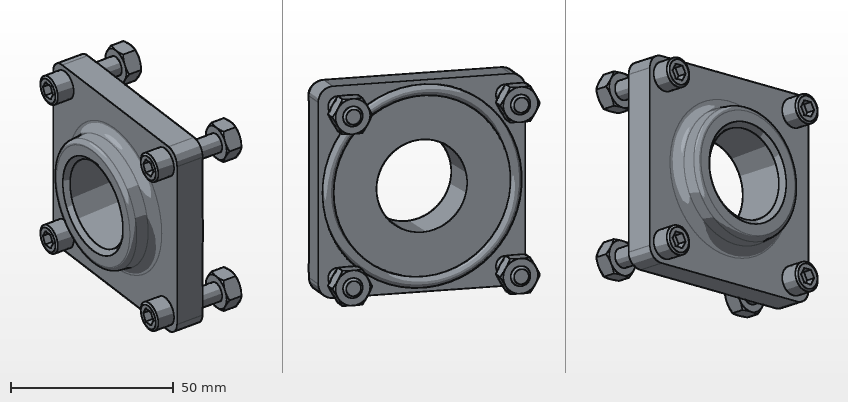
import cadquery as cq
import math


PLATE_SIDE = 66.65
PLATE_THICKNESS = 9.55
PLATE_CORNER_RADIUS = 4.75
BOLT_SPACING = 54.0

HUB_HEIGHT = 8.3
HUB_TAPER = math.radians(6)
HUB_FOOT_RADIUS = 25.0
HUB_FOOT_FILLET = 3.2
HUB_RIM_FILLET = 1.6
BORE_RADIUS = 14.55
BORE_CHAMFER = 1.6

RING_SECTION_RADIUS = 1.75
RING_OUTER_RADIUS = 32.0
RING_PROTRUSION = 2.1

BOLT_DIAMETER = 6.35
BOLT_LENGTH = 25.4
BOLT_TIP_CHAMFER = 0.8
HEAD_DIAMETER = 9.5
HEAD_HEIGHT = BOLT_DIAMETER
HEAD_CHAMFER_WIDTH = 0.75
HEAD_CHAMFER_HEIGHT = 0.5
SOCKET_WIDTH = 4.75
SOCKET_DEPTH = HEAD_HEIGHT / 2

NUT_WIDTH = 11.1
NUT_HEIGHT = 5.55
NUT_CHAMFER_ANGLE = math.radians(30)
BOLT_TIP_OVERHANG = 0.8

FRONT_FACE = -PLATE_THICKNESS
HUB_FACE = FRONT_FACE - HUB_HEIGHT
HEAD_FACE = FRONT_FACE - HEAD_HEIGHT
BOLT_TIP = FRONT_FACE + BOLT_LENGTH
NUT_BACK = BOLT_TIP - BOLT_TIP_OVERHANG
NUT_FRONT = NUT_BACK - NUT_HEIGHT

RING_RADIUS = RING_OUTER_RADIUS - RING_SECTION_RADIUS
RING_CENTRE_Y = RING_PROTRUSION - RING_SECTION_RADIUS
GROOVE_DEPTH = RING_SECTION_RADIUS - RING_CENTRE_Y

HALF_SPACING = BOLT_SPACING / 2
BOLT_PLACES = [(x, z) for x in (-HALF_SPACING, HALF_SPACING) for z in (-HALF_SPACING, HALF_SPACING)]


def plane_at(y):
    """Plane facing +Y at the given Y, with its local x along X."""
    return cq.Workplane(cq.Plane(origin=(0, y, 0), xDir=(1, 0, 0), normal=(0, 1, 0)))


def cylinder(radius, start, end):
    """Solid cylinder on the Y axis between two Y places."""
    return plane_at(start).circle(radius).extrude(end - start)


def corner_diameter(width):
    """Distance across the corners of a hexagon with the given width across flats."""
    return width / math.cos(math.pi / 6)


def hexagon(width, start, end):
    """Hexagonal prism on the Y axis, with two corners pointing along X."""
    return plane_at(start).polygon(6, corner_diameter(width)).extrude(end - start)


def revolve_about_y(profile):
    return profile.revolve(360, (0, 0, 0), (0, 1, 0))


def point_on_arc(centre, radius, angle):
    return (centre[0] + radius * math.cos(angle), centre[1] + radius * math.sin(angle))


def make_hub():
    """Tapered hub, tangent to its foot fillet and to its rim fillet, as a solid of revolution."""
    foot_centre = (HUB_FOOT_RADIUS, FRONT_FACE - HUB_FOOT_FILLET)
    foot_end = point_on_arc(foot_centre, HUB_FOOT_FILLET, math.pi - HUB_TAPER)
    foot_mid = point_on_arc(foot_centre, HUB_FOOT_FILLET, (1.5 * math.pi - HUB_TAPER) / 2)

    rim_y = HUB_FACE + HUB_RIM_FILLET * (1 - math.sin(HUB_TAPER))
    wall_length = foot_end[1] - rim_y
    rim_start = (foot_end[0] - wall_length * math.tan(HUB_TAPER), rim_y)
    rim_centre = (rim_start[0] - HUB_RIM_FILLET * math.cos(HUB_TAPER), HUB_FACE + HUB_RIM_FILLET)
    rim_mid = point_on_arc(rim_centre, HUB_RIM_FILLET, -(math.pi / 2 + HUB_TAPER) / 2)
    rim_end = (rim_centre[0], HUB_FACE)

    profile = (
        cq.Workplane("XY")
        .moveTo(0, FRONT_FACE)
        .lineTo(HUB_FOOT_RADIUS, FRONT_FACE)
        .threePointArc(foot_mid, foot_end)
        .lineTo(*rim_start)
        .threePointArc(rim_mid, rim_end)
        .lineTo(0, HUB_FACE)
        .close()
    )
    return revolve_about_y(profile)


def make_bore():
    """Through bore with a chamfered mouth in the hub face."""
    mouth_radius = BORE_RADIUS + BORE_CHAMFER
    profile = cq.Workplane("XY").polyline([
        (0, 0),
        (BORE_RADIUS, 0),
        (BORE_RADIUS, HUB_FACE + BORE_CHAMFER),
        (mouth_radius, HUB_FACE),
        (0, HUB_FACE),
    ]).close()
    return revolve_about_y(profile)


def make_ring_groove():
    """Square-sided groove in the back face that the sealing ring just fits."""
    outer = cylinder(RING_OUTER_RADIUS, -GROOVE_DEPTH, 0)
    inner = cylinder(RING_RADIUS - RING_SECTION_RADIUS, -GROOVE_DEPTH, 0)
    return outer.cut(inner)


def make_flange():
    plate = (
        plane_at(FRONT_FACE)
        .rect(PLATE_SIDE, PLATE_SIDE)
        .extrude(PLATE_THICKNESS)
        .edges("|Y")
        .fillet(PLATE_CORNER_RADIUS)
    )
    flange = plate.union(make_hub()).cut(make_bore()).cut(make_ring_groove())
    bolt_hole = cylinder(BOLT_DIAMETER / 2, FRONT_FACE, 0)
    for x, z in BOLT_PLACES:
        flange = flange.cut(bolt_hole.translate((x, 0, z)))
    return flange


def make_sealing_ring():
    section = cq.Workplane("XY").center(RING_RADIUS, RING_CENTRE_Y).circle(RING_SECTION_RADIUS)
    return section.revolve(360, (-RING_RADIUS, 0, 0), (-RING_RADIUS, 1, 0))


def make_bolt(x, z):
    """Socket head bolt with its head on the front face of the plate."""
    head_radius = HEAD_DIAMETER / 2
    shank = cylinder(BOLT_DIAMETER / 2, FRONT_FACE, BOLT_TIP).faces(">Y").chamfer(BOLT_TIP_CHAMFER)
    head = revolve_about_y(cq.Workplane("XY").polyline([
        (0, FRONT_FACE),
        (head_radius, FRONT_FACE),
        (head_radius, HEAD_FACE + HEAD_CHAMFER_HEIGHT),
        (head_radius - HEAD_CHAMFER_WIDTH, HEAD_FACE),
        (0, HEAD_FACE),
    ]).close())
    socket = hexagon(SOCKET_WIDTH, HEAD_FACE, HEAD_FACE + SOCKET_DEPTH)
    return head.union(shank).cut(socket).translate((x, 0, z))


def make_nut(x, z):
    """Hexagon nut whose corners are cut by a cone at both ends."""
    face_radius = NUT_WIDTH / 2
    corner_radius = corner_diameter(NUT_WIDTH) / 2
    cone_height = (corner_radius - face_radius) * math.tan(NUT_CHAMFER_ANGLE)
    envelope = revolve_about_y(cq.Workplane("XY").polyline([
        (0, NUT_FRONT),
        (face_radius, NUT_FRONT),
        (corner_radius, NUT_FRONT + cone_height),
        (corner_radius, NUT_BACK - cone_height),
        (face_radius, NUT_BACK),
        (0, NUT_BACK),
    ]).close())
    thread_hole = cylinder(BOLT_DIAMETER / 2, NUT_FRONT, NUT_BACK)
    nut = hexagon(NUT_WIDTH, NUT_FRONT, NUT_BACK).intersect(envelope).cut(thread_hole)
    return nut.translate((x, 0, z))


flange = make_flange()
sealing_ring = make_sealing_ring()
bolts = [make_bolt(x, z) for x, z in BOLT_PLACES]
nuts = [make_nut(x, z) for x, z in BOLT_PLACES]

result = cq.Compound.makeCompound([
    flange.val(),
    sealing_ring.val(),
    *[bolt.val() for bolt in bolts],
    *[nut.val() for nut in nuts],
])